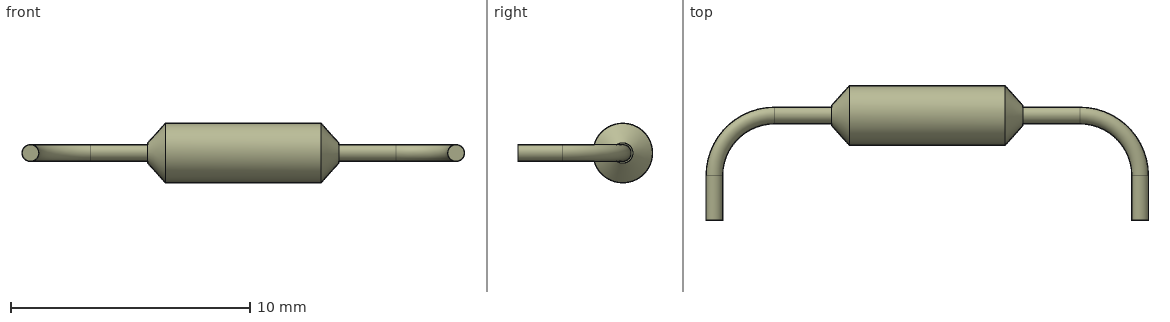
import cadquery as cq

span = 18.51
wire_diameter = 0.7
bend_radius = 2.52
lead_reach = 4.39
body_diameter = 2.5
body_length = 8.0
barrel_length = 6.52
body_end_diameter = 0.85

wire_radius = wire_diameter / 2
lead_x = span / 2 - wire_radius
bend_start_x = lead_x - bend_radius


def make_wire():
    """One continuous round wire along X, with both ends bent toward -Y."""
    def rod(start, direction, length):
        return cq.Workplane(cq.Solid.makeCylinder(
            wire_radius, length, cq.Vector(*start), cq.Vector(*direction)))

    wire = rod((-bend_start_x, 0, 0), (1, 0, 0), 2 * bend_start_x)
    for side in (-1, 1):
        bend = (
            cq.Workplane("YZ", origin=(side * bend_start_x, 0, 0))
            .circle(wire_radius)
            .revolve(90, (-bend_radius, 0), (-bend_radius, -side))
        )
        tail = rod((side * lead_x, -bend_radius, 0), (0, -1, 0), lead_reach - bend_radius)
        wire = wire.union(bend).union(tail)
    return wire


def make_body():
    """Cylindrical component body with conical ends and a through hole for the wire."""
    half_length = body_length / 2
    half_barrel = barrel_length / 2
    end_radius = body_end_diameter / 2
    body_radius = body_diameter / 2
    return (
        cq.Workplane("XY")
        .moveTo(-half_length, wire_radius)
        .lineTo(-half_length, end_radius)
        .lineTo(-half_barrel, body_radius)
        .lineTo(half_barrel, body_radius)
        .lineTo(half_length, end_radius)
        .lineTo(half_length, wire_radius)
        .close()
        .revolve(360, (0, 0), (1, 0))
    )


wire = make_wire()
body = make_body()

result = cq.Compound.makeCompound([body.val(), wire.val()])